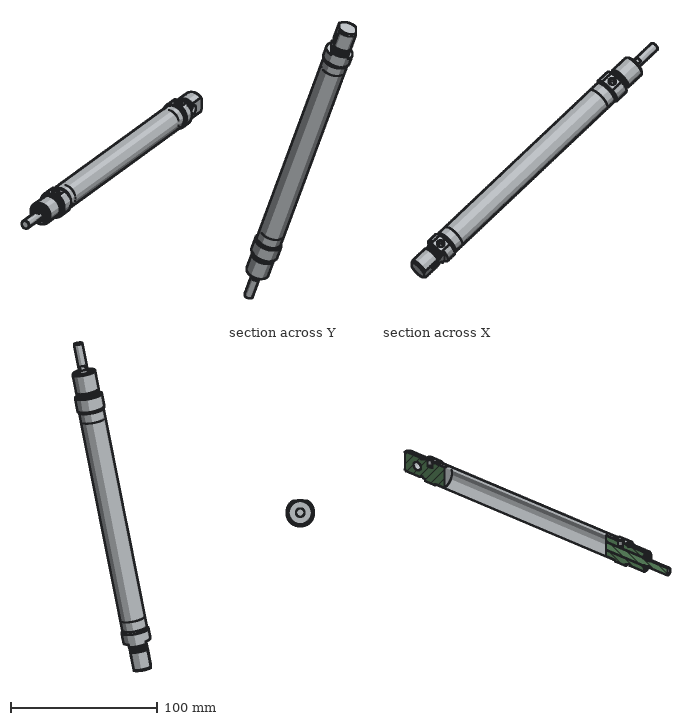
import cadquery as cq

length = 234.0

tube_diameter = 17.3
tube_bore = 16.0
tube_front = 48.2
tube_rear = 205.5

collar_diameter = 19.0
spigot_diameter = tube_bore
spigot_length = 7.0
seat_diameter = tube_diameter
thread_diameter = 16.0
groove_diameter = 13.8
edge_chamfer = 0.7
groove_depth = (thread_diameter - groove_diameter) / 2
port_flat_height = 8.2
port_diameter = 4.2
port_depth = 4.7
port_chamfer = 0.5

front_collar_rear = 47.0
front_collar_front = 37.7
front_neck_front = 36.3
front_thread_rear = 34.2
front_face = 20.4
front_port_y = 42.1
recess_steps = ((11.2, 0.5), (9.1, 1.0), (7.0, 1.5))

rear_collar_front = 207.0
rear_collar_rear = 216.0
rear_neck_rear = 218.3
rear_thread_front = 220.5
lug_end_chamfer = 1.2
rear_port_y = 211.5
lug_width = 12.0
lug_flat_front = 214.0
lug_hole_diameter = 6.0
lug_hole_y = 222.8

rod_diameter = 6.0
rod_rear = tube_front + spigot_length
rod_tip_chamfer = 0.2
rod_shank_diameter = 5.8
wrench_width = 5.0
wrench_front = 15.7
wrench_rear = 18.7


def cylinder(diameter, start, end):
    """Solid cylinder on the Y axis between two stations."""
    plane = cq.Plane(origin=(0, start, 0), xDir=(1, 0, 0), normal=(0, 1, 0))
    return cq.Workplane(plane).circle(diameter / 2).extrude(end - start)


def block(x_range, y_range, z_range):
    """Axis-aligned box given by its limits along each axis."""
    sizes = [high - low for low, high in (x_range, y_range, z_range)]
    corner = (x_range[0], y_range[0], z_range[0])
    return cq.Workplane("XY").box(*sizes, centered=False).translate(corner)


def cut_port(cap, collar_start, collar_end, port_y):
    """Mill the flat on top of a collar and drill the blind air port into it."""
    reach = collar_diameter / 2
    flat = block((-reach, reach), (collar_start, collar_end), (port_flat_height, reach))
    port_bottom = port_flat_height - port_depth
    port = (
        cq.Workplane("XY", origin=(0, port_y, port_bottom))
        .circle(port_diameter / 2)
        .extrude(port_depth)
    )
    mouth = (
        cq.Workplane("XY", origin=(0, port_y, port_flat_height))
        .circle(port_diameter / 2 + port_chamfer)
        .workplane(offset=-port_chamfer)
        .circle(port_diameter / 2)
        .loft()
    )
    return cap.cut(flat).cut(port).cut(mouth)


def make_tube():
    return cylinder(tube_diameter, tube_front, tube_rear).cut(cylinder(tube_bore, tube_front, tube_rear))


def make_front_cap():
    cap = cylinder(thread_diameter, front_face, front_thread_rear).faces("<Y").chamfer(edge_chamfer)
    cap = cap.union(cylinder(groove_diameter, front_thread_rear, front_neck_front))
    neck = cylinder(thread_diameter, front_neck_front - groove_depth, front_collar_front)
    cap = cap.union(neck.faces("<Y").chamfer(groove_depth))
    cap = cap.union(cylinder(collar_diameter, front_collar_front, front_collar_rear))
    cap = cap.union(cylinder(seat_diameter, front_collar_rear, tube_front))
    cap = cap.union(cylinder(spigot_diameter, tube_front, tube_front + spigot_length))
    cap = cut_port(cap, front_collar_front, front_collar_rear, front_port_y)

    for diameter, depth in recess_steps:
        cap = cap.cut(cylinder(diameter, front_face, front_face + depth))
    return cap.cut(cylinder(rod_shank_diameter, front_face, rod_rear))


def make_rear_cap():
    cap = cylinder(thread_diameter, rear_thread_front - groove_depth, length)
    cap = cap.faces(">Y").chamfer(lug_end_chamfer).faces("<Y").chamfer(groove_depth)
    cap = cap.union(cylinder(groove_diameter, rear_neck_rear - groove_depth, rear_thread_front))
    neck = cylinder(thread_diameter, rear_collar_rear, rear_neck_rear)
    cap = cap.union(neck.faces(">Y").chamfer(groove_depth))
    cap = cap.union(cylinder(collar_diameter, rear_collar_front, rear_collar_rear))
    cap = cap.union(cylinder(seat_diameter, tube_rear, rear_collar_front))
    cap = cap.union(cylinder(spigot_diameter, tube_rear - spigot_length, tube_rear))
    cap = cut_port(cap, rear_collar_front, rear_collar_rear, rear_port_y)

    reach = collar_diameter / 2
    for side in (-1, 1):
        x_range = sorted((side * lug_width / 2, side * reach))
        cap = cap.cut(block(x_range, (lug_flat_front, length), (-reach, reach)))
    hole = (
        cq.Workplane("YZ", origin=(-lug_width / 2, lug_hole_y, 0))
        .circle(lug_hole_diameter / 2)
        .extrude(lug_width)
    )
    return cap.cut(hole)


def make_rod():
    rod = cylinder(rod_diameter, 0, wrench_rear).faces("<Y").chamfer(rod_tip_chamfer)
    rod = rod.union(cylinder(rod_shank_diameter, wrench_rear, rod_rear))
    reach = rod_diameter / 2
    for side in (-1, 1):
        z_range = sorted((side * wrench_width / 2, side * reach))
        rod = rod.cut(block((-reach, reach), (wrench_front, wrench_rear), z_range))
    return rod


tube = make_tube()
front_cap = make_front_cap()
rear_cap = make_rear_cap()
rod = make_rod()

result = cq.Compound.makeCompound([tube.val(), front_cap.val(), rear_cap.val(), rod.val()])